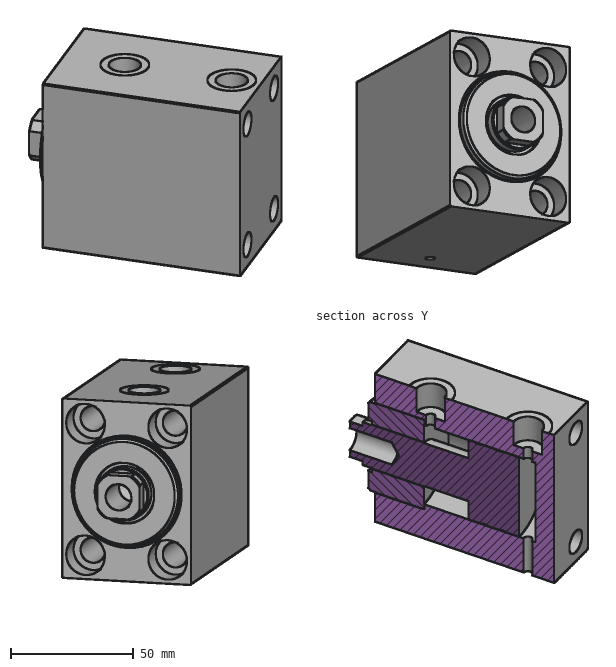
import cadquery as cq
import math


OVERALL_LENGTH = 97.0
ROD_PROJECTION = 12.0
HOUSING_LENGTH = OVERALL_LENGTH - ROD_PROJECTION
HOUSING_WIDTH = 55.0
HOUSING_HEIGHT = 75.0
EDGE_CHAMFER = 0.5

BOLT_SPACING_Y = 35.0
BOLT_SPACING_Z = 55.0
BOLT_HOLE_DIAMETER = 10.5
BOLT_HEAD_DIAMETER = 16.5
BOLT_HEAD_DEPTH = 11.0

PORT_FRONT_X = 26.4
PORT_REAR_X = 72.5
PORT_DIAMETER = 13.2
PORT_DEPTH = 12.0
PORT_SPOTFACE_DIAMETER = 20.0
PORT_SPOTFACE_DEPTH = 0.1
OIL_HOLE_DIAMETER = 4.0

BORE_DIAMETER = 40.0
REAR_WALL = 9.0
BORE_DEPTH = HOUSING_LENGTH - REAR_WALL

GLAND_DIAMETER = 45.0
GLAND_PROJECTION = 3.2
GLAND_INSERTION = 23.3
GLAND_CHAMFER = 1.1
GLAND_SEAT_CHAMFER = 1.0
CHAMFER_ANGLE = 45.0
WIPER_DIAMETER = 25.4
WIPER_DEPTH = 1.7

ROD_DIAMETER = 22.0
COLLAR_PROJECTION = 6.0
ROD_CHAMFER = 0.5
TIP_DIAMETER = 21.1
TIP_CHAMFER = 0.4
TIP_ACROSS_FLATS = 18.0
ROD_HOLE_DIAMETER = 11.0
ROD_HOLE_DEPTH = 20.0
DRILL_POINT_ANGLE = 118.0
PISTON_LENGTH = 24.25
PISTON_REAR_X = PORT_REAR_X - OIL_HOLE_DIAMETER


def cylinder_x(diameter, x_start, x_end):
    """Cylinder on the X axis between two X positions."""
    return cq.Workplane("YZ", origin=(x_start, 0, 0)).circle(diameter / 2).extrude(x_end - x_start)


def drill_down(x, diameter, depth):
    """Cylinder going down from the top face of the housing."""
    top = (x, 0, HOUSING_HEIGHT / 2)
    return cq.Workplane("XY", origin=top).circle(diameter / 2).extrude(-depth)


def oil_port(x, oil_hole_depth):
    """Spotface, port and narrow oil hole, all on one vertical axis."""
    spotface = drill_down(x, PORT_SPOTFACE_DIAMETER, PORT_SPOTFACE_DEPTH)
    port = drill_down(x, PORT_DIAMETER, PORT_DEPTH)
    oil_hole = drill_down(x, OIL_HOLE_DIAMETER, oil_hole_depth)
    return spotface.union(port).union(oil_hole)


def make_housing():
    block = (
        cq.Workplane("YZ")
        .rect(HOUSING_WIDTH, HOUSING_HEIGHT)
        .extrude(HOUSING_LENGTH)
        .edges("|X")
        .chamfer(EDGE_CHAMFER)
    )

    block = (
        block.faces("<X")
        .workplane(origin=(0, 0, 0))
        .rect(BOLT_SPACING_Y, BOLT_SPACING_Z, forConstruction=True)
        .vertices()
        .cboreHole(BOLT_HOLE_DIAMETER, BOLT_HEAD_DIAMETER, BOLT_HEAD_DEPTH)
    )

    block = block.cut(cylinder_x(BORE_DIAMETER, 0, BORE_DEPTH))
    seat = cylinder_x(GLAND_DIAMETER, 0, GLAND_INSERTION)
    mouth_radius = GLAND_DIAMETER / 2 + GLAND_SEAT_CHAMFER
    mouth = cq.Workplane("YZ").circle(mouth_radius).extrude(GLAND_SEAT_CHAMFER, taper=CHAMFER_ANGLE)
    block = block.cut(seat).cut(mouth)

    block = block.cut(oil_port(PORT_FRONT_X, HOUSING_HEIGHT / 2))
    return block.cut(oil_port(PORT_REAR_X, HOUSING_HEIGHT))


def make_gland():
    gland = cylinder_x(GLAND_DIAMETER, -GLAND_PROJECTION, GLAND_INSERTION)
    gland = gland.faces("<X").chamfer(GLAND_CHAMFER)
    rod_bore = cylinder_x(ROD_DIAMETER, -GLAND_PROJECTION, GLAND_INSERTION)
    wiper_recess = cylinder_x(WIPER_DIAMETER, -GLAND_PROJECTION, WIPER_DEPTH - GLAND_PROJECTION)
    return gland.cut(rod_bore).cut(wiper_recess)


def make_piston_rod():
    rod = cylinder_x(ROD_DIAMETER, -COLLAR_PROJECTION, PISTON_REAR_X).faces("<X").chamfer(ROD_CHAMFER)
    piston = cylinder_x(BORE_DIAMETER, PISTON_REAR_X - PISTON_LENGTH, PISTON_REAR_X)

    tip = cylinder_x(TIP_DIAMETER, -ROD_PROJECTION, -COLLAR_PROJECTION).faces("<X").chamfer(TIP_CHAMFER)
    square = (
        cq.Workplane("YZ", origin=(-ROD_PROJECTION, 0, 0))
        .rect(TIP_ACROSS_FLATS, TIP_ACROSS_FLATS)
        .extrude(ROD_PROJECTION - COLLAR_PROJECTION)
    )
    tip = tip.intersect(square)

    hole_radius = ROD_HOLE_DIAMETER / 2
    hole_end_x = ROD_HOLE_DEPTH - ROD_PROJECTION
    point_length = hole_radius / math.tan(math.radians(DRILL_POINT_ANGLE / 2))
    hole = (
        cq.Workplane("XY")
        .moveTo(-ROD_PROJECTION, 0)
        .lineTo(-ROD_PROJECTION, hole_radius)
        .lineTo(hole_end_x, hole_radius)
        .lineTo(hole_end_x + point_length, 0)
        .close()
        .revolve(360, (0, 0, 0), (1, 0, 0))
    )
    return rod.union(piston).union(tip).cut(hole)


housing = make_housing()
gland = make_gland()
piston_rod = make_piston_rod()

result = cq.Compound.makeCompound([housing.val(), gland.val(), piston_rod.val()])